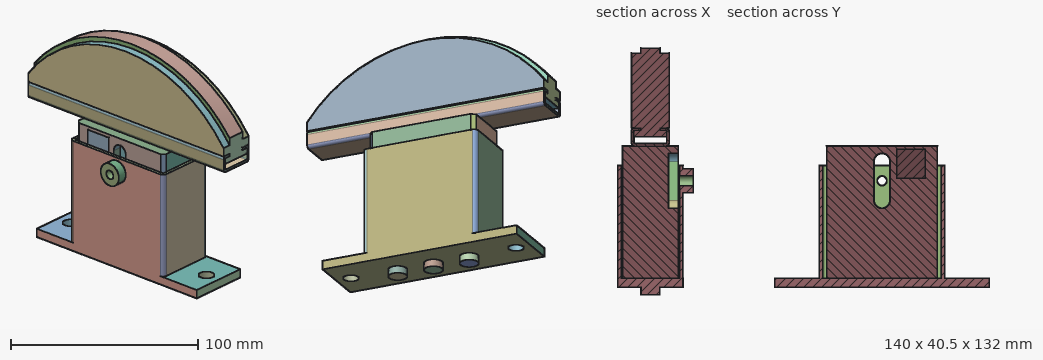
import cadquery as cq
import math


stud_diameter = 10.2
stud_length = 4.0
stud_pitch = 21.1
stud_count = 3

plate_length = 114.7
plate_thickness = 5.0
plate_bottom = stud_length
plate_top = plate_bottom + plate_thickness
mounting_hole_diameter = 8.5
mounting_hole_spacing = 97.5

tube_length = 67.1
tube_width = 35.0
tube_height = 60.2
tube_wall = 2.0
tube_outer_radius = 2.35
tube_inner_radius = tube_outer_radius - tube_wall
tube_top = plate_top + tube_height

boss_diameter = 13.0
boss_length = 5.5
boss_bore_diameter = 5.0
boss_axis_z = tube_top - 8.2

block_length = 62.8
block_width = 30.0
block_chamfer = 2.2
block_bottom = plate_top
block_top = tube_top + 10.4
block_height = block_top - block_bottom

guide_slot_width = 8.5
guide_slot_depth = 5.3
guide_slot_top = block_top - 4.0
guide_slot_length = 2 * (guide_slot_top - boss_axis_z)

insert_size = 15.0
insert_thickness = 1.0
insert_x = -15.5
insert_top = block_top - 2.0

rail_length = 140.0
rail_width = 20.3
rail_height = 9.7
rail_wall = 1.45
rail_outer_radius = 1.8
rail_inner_radius = rail_outer_radius - rail_wall
rail_mouth = 10.2
rail_bottom = block_top
rail_top = rail_bottom + rail_height

shoe_foot_bottom = rail_bottom + 4.9
track_width = 10.5
track_radius = 90.0
track_step = 2.6
shoulder_radius = track_radius - track_step
arch_centre_z = 42.0


def box_on(bottom, length, width, height):
    """A box centred on the Z axis, standing on the level `bottom`."""
    return cq.Workplane("XY").workplane(offset=bottom).rect(length, width).extrude(height)


def along_rail(profile):
    """Extrude a YZ profile over the full rail length, centred on X = 0."""
    return profile.extrude(rail_length / 2, both=True)


def make_housing():
    plate = box_on(plate_bottom, plate_length, tube_width, plate_thickness)
    tube = box_on(plate_top, tube_length, tube_width, tube_height).edges("|Z").fillet(tube_outer_radius)
    studs = (
        cq.Workplane("XY")
        .rarray(stud_pitch, 1, stud_count, 1)
        .circle(stud_diameter / 2)
        .extrude(plate_bottom)
    )
    boss_end = cq.Workplane("XZ", origin=(0, -tube_width / 2 - boss_length, boss_axis_z))
    boss = boss_end.circle(boss_diameter / 2).extrude(-boss_length)

    cavity_length = tube_length - 2 * tube_wall
    cavity_width = tube_width - 2 * tube_wall
    cavity = box_on(plate_top, cavity_length, cavity_width, tube_height).edges("|Z").fillet(tube_inner_radius)
    bore = boss_end.circle(boss_bore_diameter / 2).extrude(-(boss_length + tube_wall))
    mounting_holes = (
        cq.Workplane("XY")
        .workplane(offset=plate_bottom)
        .rarray(mounting_hole_spacing, 1, 2, 1)
        .circle(mounting_hole_diameter / 2)
        .extrude(plate_thickness)
    )
    return plate.union(tube).union(studs).union(boss).cut(cavity).cut(bore).cut(mounting_holes)


def make_insert():
    centre = (insert_x, -block_width / 2, insert_top - insert_size / 2)
    return cq.Workplane("XZ", origin=centre).rect(insert_size, insert_size).extrude(-insert_thickness)


def make_block():
    body = box_on(block_bottom, block_length, block_width, block_height).edges("|Z").chamfer(block_chamfer)
    guide_slot = (
        cq.Workplane("XZ", origin=(0, -block_width / 2, boss_axis_z))
        .slot2D(guide_slot_length, guide_slot_width, 90)
        .extrude(-guide_slot_depth)
    )
    return body.cut(guide_slot).cut(make_insert())


def rail_section(width, height, radius):
    """A bar with rounded long edges, centred on the middle of the rail."""
    middle = (0, 0, rail_bottom + rail_height / 2)
    profile = cq.Workplane("YZ", origin=middle).rect(width, height)
    return along_rail(profile).edges("|X").fillet(radius)


def rail_envelope():
    return rail_section(rail_width, rail_height, rail_outer_radius)


def make_rail():
    hollow = rail_section(rail_width - 2 * rail_wall, rail_height - 2 * rail_wall, rail_inner_radius)
    mouth_centre = (0, 0, rail_top - rail_wall)
    mouth = along_rail(cq.Workplane("YZ", origin=mouth_centre).rect(rail_mouth, 2 * rail_wall))
    return rail_envelope().cut(hollow).cut(mouth)


def arched_slab(width, radius, bottom):
    """A slab of the given width in Y, flat below and arched on top."""
    half_length = rail_length / 2
    arch_end_z = arch_centre_z + math.sqrt(radius**2 - half_length**2)
    return (
        cq.Workplane("XZ")
        .moveTo(-half_length, bottom)
        .lineTo(half_length, bottom)
        .lineTo(half_length, arch_end_z)
        .threePointArc((0, arch_centre_z + radius), (-half_length, arch_end_z))
        .close()
        .extrude(width / 2, both=True)
    )


def make_shoe():
    shoulders = arched_slab(rail_width, shoulder_radius, rail_top)
    track = arched_slab(track_width, track_radius, rail_top)
    neck_height = rail_top - shoe_foot_bottom
    neck = box_on(shoe_foot_bottom, rail_length, rail_mouth, neck_height)
    foot_width = rail_width - 2 * rail_wall
    foot = box_on(shoe_foot_bottom, rail_length, foot_width, neck_height).cut(make_rail())
    return shoulders.union(track).union(neck).union(foot)


housing = make_housing()
block = make_block()
insert = make_insert()
rail = make_rail()
shoe = make_shoe()

result = cq.Compound.makeCompound([housing.val(), block.val(), insert.val(), rail.val(), shoe.val()])